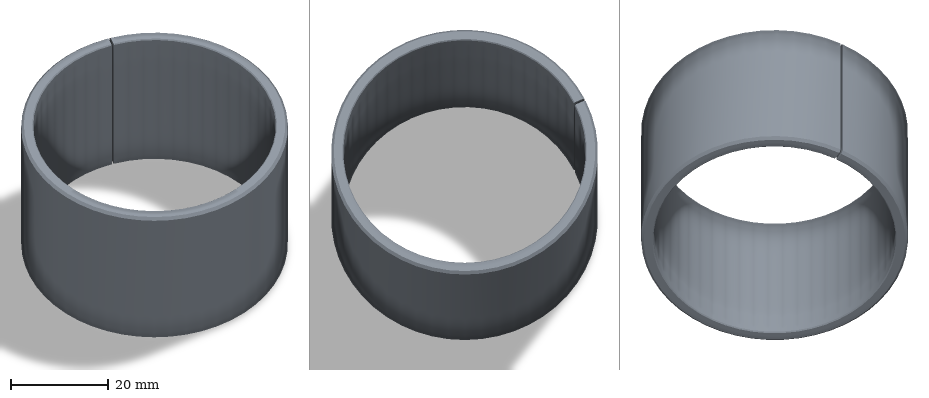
import cadquery as cq

outer_diameter = 55.0
inner_diameter = 50.0
height = 35.0
slit_width = 0.5

outer_chamfer = 0.55
inner_chamfer = 0.2

outer_radius = outer_diameter / 2
inner_radius = inner_diameter / 2
half_height = height / 2


def sleeve():
    """Revolve the wall section, with its four chamfered corners, about Z."""
    inner_flat = half_height - inner_chamfer
    outer_flat = half_height - outer_chamfer
    end_inner = inner_radius + inner_chamfer
    end_outer = outer_radius - outer_chamfer
    section = [
        (inner_radius, -inner_flat),
        (end_inner, -half_height),
        (end_outer, -half_height),
        (outer_radius, -outer_flat),
        (outer_radius, outer_flat),
        (end_outer, half_height),
        (end_inner, half_height),
        (inner_radius, inner_flat),
    ]
    return cq.Workplane("XZ").polyline(section).close().revolve(360, (0, 0, 0), (0, 1, 0))


def slit():
    """Full-height cutter through the -X wall, with one face on the XZ plane."""
    cutter = cq.Workplane("XY").box(outer_radius, slit_width, height, centered=(False, False, True))
    return cutter.translate((-outer_radius, 0, 0))


result = sleeve().cut(slit())